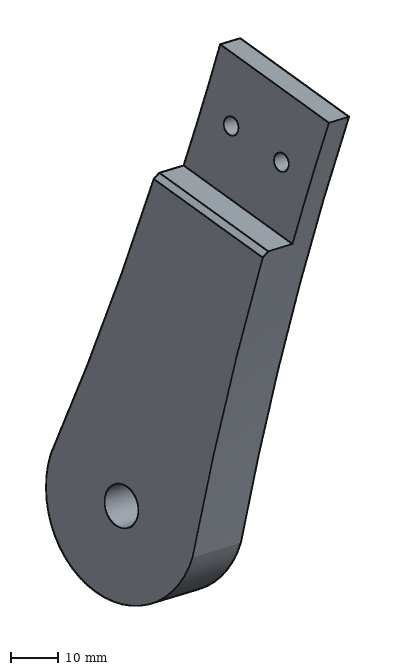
import cadquery as cq

tilt_angle = 20.0
thickness = 15.24
tab_thickness = 6.35
pivot_radius = 21.59
pivot_hole_diameter = 9.65
tip_width = 33.08
tab_length = 30.48
lever_length = 104.14
flank_radius = 762.0
shoulder_chamfer = 1.27
tab_hole_diameter = 4.2
tab_hole_spacing = 15.24

half_tip = tip_width / 2
shoulder_height = lever_length - tab_length
tab_hole_height = shoulder_height + tab_length / 2
front_y = -thickness
tab_front_y = -tab_thickness


def lever_body():
    """Full-thickness blank: round pivot end, two concave flanks, flat tip."""
    return (
        cq.Workplane("XZ")
        .moveTo(-pivot_radius, 0)
        .threePointArc((0, -pivot_radius), (pivot_radius, 0))
        .radiusArc((half_tip, lever_length), flank_radius)
        .lineTo(-half_tip, lever_length)
        .radiusArc((-pivot_radius, 0), flank_radius)
        .close()
        .extrude(thickness)
    )


def tab_relief():
    """Space in front of the tab, widened below by the shoulder chamfer."""
    return (
        cq.Workplane("YZ")
        .moveTo(tab_front_y, lever_length)
        .lineTo(tab_front_y, shoulder_height)
        .lineTo(front_y + shoulder_chamfer, shoulder_height)
        .lineTo(front_y, shoulder_height - shoulder_chamfer)
        .lineTo(front_y, lever_length)
        .close()
        .extrude(pivot_radius, both=True)
    )


def through_hole(x, z, diameter):
    """Cylinder along Y through the full thickness."""
    return cq.Workplane("XZ").center(x, z).circle(diameter / 2).extrude(thickness)


lever = lever_body().cut(tab_relief())
lever = lever.cut(through_hole(0, 0, pivot_hole_diameter))
for side in (-1, 1):
    hole_x = side * tab_hole_spacing / 2
    lever = lever.cut(through_hole(hole_x, tab_hole_height, tab_hole_diameter))

result = lever.rotate((0, 0, 0), (0, 1, 0), tilt_angle)